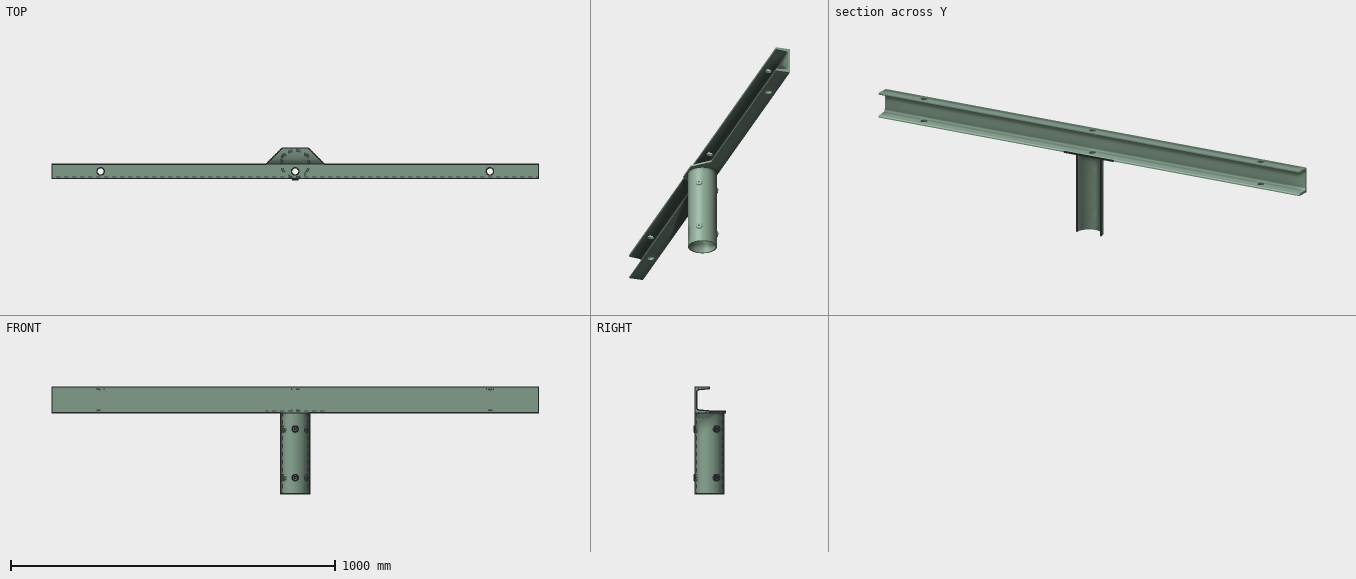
import cadquery as cq
import math

BEAM_LENGTH = 1500.0
BEAM_HEIGHT = 80.0
FLANGE_WIDTH = 45.0
WEB_THICKNESS = 6.0
FLANGE_THICKNESS = 8.0
FLANGE_TAPER = 0.08
ROOT_RADIUS = 8.0
TIP_RADIUS = 4.0
EDGE_TOLERANCE = 0.01

MOUNT_HOLE_DIAMETER = 22.0
MOUNT_HOLE_PITCH = 600.0
MOUNT_HOLE_FROM_BACK = FLANGE_WIDTH / 2

TUBE_DIAMETER = 90.0
TUBE_WALL = 5.0
TUBE_LENGTH = 250.0
TUBE_RADIUS = TUBE_DIAMETER / 2

PLATE_THICKNESS = 5.0
PLATE_BACK_WIDTH = 80.0
PLATE_OVERHANG = 5.0

SCREWS_PER_RING = 3
SCREW_DEPTHS = (50.0, 200.0)
SCREW_DIAMETER = 20.0
SCREW_PROTRUSION = 3.45
SCREW_LENGTH = 10.0
SCREW_CHAMFER = 2.0
SOCKET_WIDTH = 6.0
SOCKET_DEPTH = 5.0

PLATE_BACK_Y = TUBE_RADIUS + PLATE_OVERHANG
BEAM_BACK_Y = -TUBE_RADIUS
BEAM_TIP_Y = BEAM_BACK_Y + FLANGE_WIDTH

SCREW_PLACES = [
    (-90 + 360 * position / SCREWS_PER_RING, depth)
    for depth in SCREW_DEPTHS
    for position in range(SCREWS_PER_RING)
]


def flange_thickness_at(distance_from_back):
    return FLANGE_THICKNESS + FLANGE_TAPER * (FLANGE_WIDTH / 2 - distance_from_back)


def make_beam():
    """Channel section extruded along X, with a row of holes through both flanges."""
    web_y = BEAM_BACK_Y + WEB_THICKNESS
    tip = flange_thickness_at(FLANGE_WIDTH)
    root = flange_thickness_at(WEB_THICKNESS)
    outline = [
        (BEAM_BACK_Y, 0),
        (BEAM_TIP_Y, 0),
        (BEAM_TIP_Y, tip),
        (web_y, root),
        (web_y, BEAM_HEIGHT - root),
        (BEAM_TIP_Y, BEAM_HEIGHT - tip),
        (BEAM_TIP_Y, BEAM_HEIGHT),
        (BEAM_BACK_Y, BEAM_HEIGHT),
    ]
    beam = cq.Workplane("YZ").polyline(outline).close().extrude(BEAM_LENGTH / 2, both=True)

    def edges_along_x(y, z_values):
        points = [cq.Vector(0, y, z) for z in z_values]
        return beam.edges("|X").filter(
            lambda edge: any((edge.Center() - point).Length < EDGE_TOLERANCE for point in points)
        )

    beam = edges_along_x(web_y, (root, BEAM_HEIGHT - root)).fillet(ROOT_RADIUS)
    beam = edges_along_x(BEAM_TIP_Y, (tip, BEAM_HEIGHT - tip)).fillet(TIP_RADIUS)
    hole_y = BEAM_BACK_Y + MOUNT_HOLE_FROM_BACK
    holes = (
        cq.Workplane("XY")
        .pushPoints([(step * MOUNT_HOLE_PITCH, hole_y) for step in (-1, 0, 1)])
        .circle(MOUNT_HOLE_DIAMETER / 2)
        .extrude(BEAM_HEIGHT)
    )
    return beam.cut(holes)


def make_plate():
    """Trapezoid with 45 degree sides, its wide edge against the tip of the lower flange."""
    front_half_width = PLATE_BACK_WIDTH / 2 + PLATE_BACK_Y - BEAM_TIP_Y
    outline = [
        (-front_half_width, BEAM_TIP_Y),
        (front_half_width, BEAM_TIP_Y),
        (PLATE_BACK_WIDTH / 2, PLATE_BACK_Y),
        (-PLATE_BACK_WIDTH / 2, PLATE_BACK_Y),
    ]
    return cq.Workplane("XY").polyline(outline).close().extrude(PLATE_THICKNESS)


def make_screw_blank(angle, depth):
    """Screw body along a radius of the tube, without its socket."""
    inner_end = TUBE_RADIUS + SCREW_PROTRUSION - SCREW_LENGTH
    base = cq.Workplane("YZ", origin=(inner_end, 0, -depth))
    blank = base.circle(SCREW_DIAMETER / 2).extrude(SCREW_LENGTH)
    blank = blank.faces(">X").chamfer(SCREW_CHAMFER)
    return blank.rotate((0, 0, 0), (0, 0, 1), angle)


def make_screw(angle, depth):
    outer_end = TUBE_RADIUS + SCREW_PROTRUSION
    socket_corners = SOCKET_WIDTH / math.cos(math.pi / 6)
    socket = (
        cq.Workplane("YZ", origin=(outer_end, 0, -depth))
        .polygon(6, socket_corners)
        .extrude(-SOCKET_DEPTH)
        .rotate((0, 0, 0), (0, 0, 1), angle)
    )
    return make_screw_blank(angle, depth).cut(socket)


def make_tube():
    rings = cq.Workplane("XY").circle(TUBE_RADIUS).circle(TUBE_RADIUS - TUBE_WALL)
    tube = rings.extrude(-TUBE_LENGTH)
    for angle, depth in SCREW_PLACES:
        tube = tube.cut(make_screw_blank(angle, depth))
    return tube


beam = make_beam()
plate = make_plate()
tube = make_tube()
screws = [make_screw(angle, depth) for angle, depth in SCREW_PLACES]

result = cq.Compound.makeCompound(
    [beam.val(), plate.val(), tube.val(), *[screw.val() for screw in screws]]
)